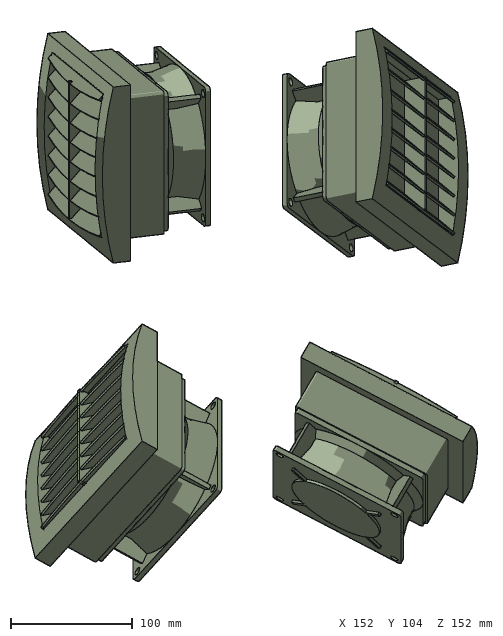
import cadquery as cq
import math


depth = 104.0
frame_crown_y = 0.5
frame_edge_y = 10.0
recess_floor_y = 19.2
frame_back_y = 25.2
box_back_y = 60.0
front_flange_y = 64.3
waist_front_y = 70.7
waist_back_y = 79.5
back_flange_y = 97.1
back_plate_y = 101.5

cover_size = 152.0
window_width = 118.0
window_top = 65.0
window_bottom = -58.7
rib_width = 3.0
rib_length = 118.0

slat_count = 8
slat_angle = 45.0
slat_thickness = 1.8
slat_bow = 4.9
first_slat_y = 0.3
first_slat_z = 57.0
last_slat_z = -60.5
slat_pitch = (first_slat_z - last_slat_z) / (slat_count - 1)

box_size = 123.7
box_corner_radius = 3.0
flange_size = 120.1
flange_corner_radius = 3.6
waist_diameter = 110.8
hole_diameter = 6.5
hole_spacing = 107.5
web_thickness = 3.8
web_reach = 68.9
web_turn = -1.0

mount_diameter = 82.1
arm_thickness = 2.7
arm_reach = 57.3


def block(width, height, y_front, y_back):
    """Rectangular block centred on the Y axis."""
    length = y_back - y_front
    return cq.Workplane("XY").box(width, length, height).translate((0, y_front + length / 2, 0))


def rounded_block(size, corner_radius, y_front, y_back):
    """Square block with its four edges along Y rounded."""
    return block(size, size, y_front, y_back).edges("|Y").fillet(corner_radius)


def diagonal_cross(reach, thickness, y_front, y_back):
    """Two plates crossing on the Y axis at 45 degrees to X and Z."""
    plate = block(2 * reach, thickness, y_front, y_back)
    rising = plate.rotate((0, 0, 0), (0, 1, 0), 45)
    falling = plate.rotate((0, 0, 0), (0, 1, 0), -45)
    return rising.union(falling)


def make_frame():
    """Square cover with a front face bowed from top to bottom and a recessed window."""
    half = cover_size / 2
    body = (
        cq.Workplane("YZ")
        .moveTo(frame_back_y, -half)
        .lineTo(frame_edge_y, -half)
        .threePointArc((frame_crown_y, 0), (frame_edge_y, half))
        .lineTo(frame_back_y, half)
        .close()
        .extrude(half, both=True)
    )
    window_middle = (window_top + window_bottom) / 2
    window = block(window_width, window_top - window_bottom, 0, recess_floor_y)
    return body.cut(window.translate((0, 0, window_middle)))


def make_slat(front_z):
    """Plate sloping up and back from a bowed front edge whose middle is at front_z."""
    tilt = math.radians(slat_angle)
    length = (recess_floor_y - first_slat_y) / math.cos(tilt)
    half_width = window_width / 2
    surface = cq.Plane(
        origin=(0, first_slat_y, front_z),
        xDir=(1, 0, 0),
        normal=(0, -math.sin(tilt), math.cos(tilt)),
    )
    return (
        cq.Workplane(surface)
        .moveTo(-half_width, slat_bow)
        .threePointArc((0, 0), (half_width, slat_bow))
        .lineTo(half_width, length)
        .lineTo(-half_width, length)
        .close()
        .extrude(-slat_thickness)
    )


def make_cover():
    cover = make_frame().union(block(rib_width, rib_length, 0, recess_floor_y))
    for index in range(slat_count):
        cover = cover.union(make_slat(first_slat_z - index * slat_pitch))
    return cover


def make_fan_housing():
    """Two square flanges joined by a waisted round shroud and four diagonal webs."""
    flange_radius = flange_size / 2
    waist_radius = waist_diameter / 2
    shroud = (
        cq.Workplane("XY")
        .moveTo(0, front_flange_y)
        .lineTo(flange_radius, front_flange_y)
        .lineTo(waist_radius, waist_front_y)
        .lineTo(waist_radius, waist_back_y)
        .lineTo(flange_radius, back_flange_y)
        .lineTo(0, back_flange_y)
        .close()
        .revolve(360, (0, 0, 0), (0, 1, 0))
    )
    webs = diagonal_cross(web_reach, web_thickness, front_flange_y, back_flange_y)
    webs = webs.rotate((0, 0, 0), (0, 1, 0), web_turn)
    front_flange = rounded_block(flange_size, flange_corner_radius, box_back_y, front_flange_y)
    back_flange = rounded_block(flange_size, flange_corner_radius, back_flange_y, back_plate_y)
    holes = (
        cq.Workplane("XZ", origin=(0, back_flange_y, 0))
        .rect(hole_spacing, hole_spacing, forConstruction=True)
        .vertices()
        .circle(hole_diameter / 2)
        .extrude(back_flange_y - back_plate_y)
    )
    return front_flange.union(shroud).union(webs).union(back_flange.cut(holes))


def make_motor_mount():
    """Round plate with four diagonal arms on the back of the housing."""
    plate = (
        cq.Workplane("XZ", origin=(0, back_plate_y, 0))
        .circle(mount_diameter / 2)
        .extrude(back_plate_y - depth)
    )
    return plate.union(diagonal_cross(arm_reach, arm_thickness, back_plate_y, depth))


filter_box = rounded_block(box_size, box_corner_radius, frame_back_y, box_back_y)
result = make_cover().union(filter_box).union(make_fan_housing()).union(make_motor_mount())